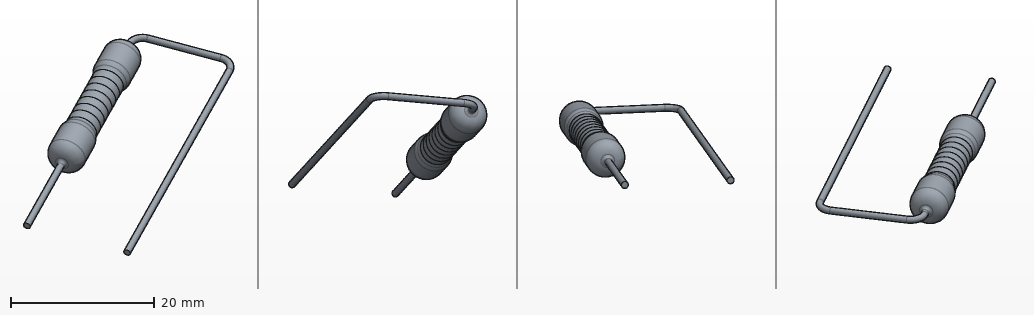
import cadquery as cq
import math


cap_radius = 5.5 / 2
cap_straight_length = 3.8
cap_edge_radius = 1.9
cap_outer_shoulder_y = 10.6
waist_radius = 4.67 / 2
waist_blend_radius = 1.6
band_radius = 4.7 / 2
band_count = 4

lead_radius = 1.0 / 2
lead_blend_radius = 0.5
lead_stub_length = 0.5
lead_bend_radius = 2.0
lead_pitch = 15.0
overall_length = 42.1


def tangent_arc_offset(edge_radius, blend_radius, radial_distance):
    """Axial distance between the centres of two externally tangent arcs."""
    return math.sqrt((edge_radius + blend_radius) ** 2 - radial_distance ** 2)


edge_centre_r = cap_radius - cap_edge_radius
cap_inner_shoulder_y = cap_outer_shoulder_y - cap_straight_length

waist_blend_centre_r = waist_radius + waist_blend_radius
waist_end_y = cap_inner_shoulder_y - tangent_arc_offset(
    cap_edge_radius, waist_blend_radius, waist_blend_centre_r - edge_centre_r
)

lead_blend_centre_r = lead_radius + lead_blend_radius
body_end_y = cap_outer_shoulder_y + tangent_arc_offset(
    cap_edge_radius, lead_blend_radius, lead_blend_centre_r - edge_centre_r
)

bend_start_y = body_end_y + lead_stub_length
cross_run_y = bend_start_y + lead_bend_radius
lead_end_y = cross_run_y + lead_radius - overall_length


def arc_point(centre, radius, angle):
    """Point on an arc at an angle measured from the radial direction towards +Y."""
    return (centre[0] + radius * math.cos(angle), centre[1] + radius * math.sin(angle))


def make_cap():
    """Revolve the +Y cap with its blends onto the waist and onto the lead."""
    inner_centre = (edge_centre_r, cap_inner_shoulder_y)
    outer_centre = (edge_centre_r, cap_outer_shoulder_y)
    waist_blend_centre = (waist_blend_centre_r, waist_end_y)
    lead_blend_centre = (lead_blend_centre_r, body_end_y)

    inner_angle = math.atan2(waist_end_y - cap_inner_shoulder_y, waist_blend_centre_r - edge_centre_r)
    outer_angle = math.atan2(body_end_y - cap_outer_shoulder_y, lead_blend_centre_r - edge_centre_r)

    waist_blend_mid = arc_point(waist_blend_centre, waist_blend_radius, math.pi + inner_angle / 2)
    inner_tangent = arc_point(inner_centre, cap_edge_radius, inner_angle)
    inner_edge_mid = arc_point(inner_centre, cap_edge_radius, inner_angle / 2)
    outer_edge_mid = arc_point(outer_centre, cap_edge_radius, outer_angle / 2)
    outer_tangent = arc_point(outer_centre, cap_edge_radius, outer_angle)
    lead_blend_mid = arc_point(lead_blend_centre, lead_blend_radius, math.pi + outer_angle / 2)

    profile = (
        cq.Workplane("XY")
        .moveTo(0, waist_end_y)
        .lineTo(waist_radius, waist_end_y)
        .threePointArc(waist_blend_mid, inner_tangent)
        .threePointArc(inner_edge_mid, (cap_radius, cap_inner_shoulder_y))
        .lineTo(cap_radius, cap_outer_shoulder_y)
        .threePointArc(outer_edge_mid, outer_tangent)
        .threePointArc(lead_blend_mid, (lead_radius, body_end_y))
        .lineTo(0, body_end_y)
        .close()
    )
    return profile.revolve(360, (0, 0, 0), (0, 1, 0))


def cylinder_along_y(radius, start_y, end_y):
    return cq.Workplane("XZ", origin=(0, start_y, 0)).circle(radius).extrude(-(end_y - start_y))


def make_bands():
    """Equal bands and gaps filling the waist, with a band at each end."""
    waist_length = 2 * waist_end_y
    gap_count = band_count - 1
    band_width = waist_length / (band_count + gap_count)
    bands = []
    for index in range(band_count):
        start_y = -waist_end_y + 2 * index * band_width
        bands.append(cylinder_along_y(band_radius, start_y, start_y + band_width))
    return bands


def make_bent_lead():
    """Lead leaving the +Y end, crossing to +X and returning along -Y."""
    mid_bend_inset = lead_bend_radius * (1 - math.sqrt(0.5))
    path = (
        cq.Workplane("XY")
        .moveTo(0, body_end_y)
        .lineTo(0, bend_start_y)
        .threePointArc(
            (mid_bend_inset, cross_run_y - mid_bend_inset),
            (lead_bend_radius, cross_run_y),
        )
        .lineTo(lead_pitch - lead_bend_radius, cross_run_y)
        .threePointArc(
            (lead_pitch - mid_bend_inset, cross_run_y - mid_bend_inset),
            (lead_pitch, bend_start_y),
        )
        .lineTo(lead_pitch, lead_end_y)
    )
    return cq.Workplane("XZ", origin=(0, body_end_y, 0)).circle(lead_radius).sweep(path)


cap = make_cap()
waist = cylinder_along_y(waist_radius, -waist_end_y, waist_end_y)
body = waist.union(cap).union(cap.mirror("XZ"))
for band in make_bands():
    body = body.union(band)

straight_lead = cylinder_along_y(lead_radius, lead_end_y, -body_end_y)
result = body.union(straight_lead).union(make_bent_lead())